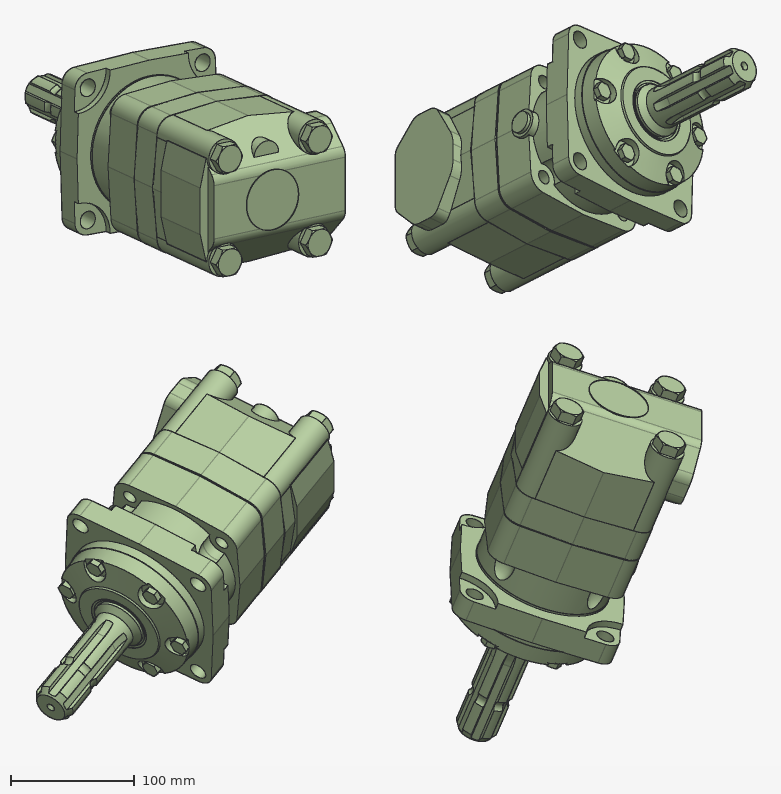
import cadquery as cq
import math


COLLAR_START = 96.5
COLLAR_END = 101.5
COVER_FACE = 102.5
COVER_CONE_START = 104.0
COVER_CONE_END = 111.0
COVER_RIM = 125.3
FLANGE_FRONT = 133.5
FLANGE_BACK = 157.7
BLOCK_FRONT = 188.3
PLATE_FRONT = 226.5
END_FRONT = 254.0
BOSS_END = 327.8
REAR_FACE = 333.2
REAR_END = 337.0

SHAFT_R = 17.5
SHAFT_TIP_R = 13.5
TIP_CHAMFER = 6.0
COLLAR_R = 22.5
SHAFT_SEAT_END = COVER_RIM
SPLINE_COUNT = 6
SPLINE_ROOT_R = 14.5
SPLINE_ROOT_WIDTH = 6.7
SPLINE_END = 75.5
CUTTER_R = 33.7
CUTTER_DEPTH = 5.0
GROOVE_X = 37.7
GROOVE_DEPTH = 2.0
GROOVE_R = 5.7
CENTRE_MOUTH_D = 7.0
CENTRE_DRILL_D = 3.25
CENTRE_CONE_HALF_ANGLE = 30
CENTRE_DRILL_DEPTH = 8.5

COVER_FACE_R = 38.0
COVER_CONE_R = 38.7
COVER_EDGE_R = 61.0
COVER_BACK_R = 61.5
COVER_RIM_R = 62.3
SEAL_RECESS_R = 26.3
SEAL_LIP_R = 24.3
SEAL_STEP = 0.7
SCREW_COUNT = 6
SCREW_CIRCLE_R = 54.0
SCREW_RECESS_D = 22.5
SCREW_RECESS_FLOOR = 112.5
SCREW_HEAD_FRONT = 107.5
SCREW_HEAD_D = 15.0
SCREW_FACE_D = 14.0

FLANGE_HALF = 70.92
FLANGE_CORNER = 68.7
FLANGE_CORNER_R = 12.5
MOUNT_OFFSET = 56.43
MOUNT_HOLE_D = 14.8
SPOT_FACE_X = 152.0
SPOT_FACE_R = 31.0
SPOT_FACE_OFFSET = 69.5
NECK_COLLAR_END = 159.5
NECK_COLLAR_R = 57.5
NECK_R = 57.3

DRAIN_X = 192.7
DRAIN_BOSS_D = 24.3
DRAIN_BOSS_Y = 64.0
DRAIN_CAP_D = 18.5
DRAIN_CAP_Y = 67.0

BODY_CORNER = 58.0
BODY_CORNER_R = 14.8
BLOCK_HALF = 61.5
PLATE_HALF = 62.3
REBATE = 0.7
REBATE_LENGTH = 0.7
END_HALF_Y = 63.5
END_HALF_Z = 62.3
END_FACE_EDGE = 58.5
END_FACE_HALF_WIDTH = 42.5
REAR_HALF_Y = 57.3
SLOPE_START = 298.5
REAR_EDGE_R = 11.8
REAR_DISC_R = 25.5
REAR_DISC_END = 334.0
TOP_PIN_D = 24.3
TOP_PIN_Z = 35.7
TOP_PIN_START = 303.2
TOP_PIN_END = 324.8

PAD_START = 269.0
PAD_END = 324.8
PAD_HALF_HEIGHT = 44.0
PAD_FLAT_HALF = 20.0
PAD_FACE_Y = 65.0
PAD_EDGE_Y = 59.3
PORT_FACE_Y = 71.93
PORT_START = 265.5
PORT_HALF_HEIGHT = 50.5
PORT_NOSE_HALF = 14.5
PORT_SLANT = 60
PORT_NOSE_R = 27.0
PORT_EDGE_R = 10.8
PORT_REAR_R = 13.0

BOLT_OFFSET = 44.0
BOLT_BOSS_R = 14.5
BOLT_D = 11.8
BOLT_TIP = 205.5
BOLT_HEAD_D = 26.3
BOLT_FACE_D = 23.0
BOLT_CHAMFER = 1.0
POCKET_R = 11.8
POCKET_STRAIGHT = 9.0
POCKET_NOSE = 17.5

QUADRANTS = [(1, 1), (-1, 1), (-1, -1), (1, -1)]
BOLT_POINTS = [(y * BOLT_OFFSET, z * BOLT_OFFSET) for y, z in QUADRANTS]
MOUNT_POINTS = [(y * MOUNT_OFFSET, z * MOUNT_OFFSET) for y, z in QUADRANTS]
SPOT_FACE_POINTS = [(y * SPOT_FACE_OFFSET, z * SPOT_FACE_OFFSET) for y, z in QUADRANTS]


def cross_section(x):
    """Workplane across the motor axis at station x: local x is Y, local y is Z."""
    return cq.Workplane("YZ", origin=(x, 0, 0))


def cylinder(start, end, radius):
    return cross_section(start).circle(radius).extrude(end - start)


def turned(points):
    """Solid of revolution about the motor axis from (station, radius) points."""
    return cq.Workplane("XY").polyline(points).close().revolve(360, (0, 0), (1, 0))


def domed_square(start, end, half, corner, corner_radius):
    """Rounded square prism whose four sides rise slightly to a ridge along their middle."""
    outline = [
        (half, 0), (corner, corner), (0, half), (-corner, corner),
        (-half, 0), (-corner, -corner), (0, -half), (corner, -corner),
    ]
    prism = cross_section(start).polyline(outline).close().extrude(end - start)
    mid = (start + end) / 2
    for y, z in QUADRANTS:
        edge = cq.selectors.NearestToPointSelector((mid, y * corner, z * corner))
        prism = prism.edges("|X").edges(edge).fillet(corner_radius)
    return prism



def spline_cutter():
    """Straight slot with walls parallel to its neighbouring teeth, and its milled run-out."""
    root_half = SPLINE_ROOT_WIDTH / 2
    top_half = root_half + CUTTER_DEPTH * math.tan(math.pi / SPLINE_COUNT)
    top_r = SPLINE_ROOT_R + CUTTER_DEPTH
    section = [
        (-root_half, SPLINE_ROOT_R), (root_half, SPLINE_ROOT_R),
        (top_half, top_r), (-top_half, top_r),
    ]
    slot = cross_section(0).polyline(section).close().extrude(SPLINE_END)
    cutter_axis_z = SPLINE_ROOT_R + CUTTER_R
    run_out = (
        cross_section(SPLINE_END).polyline(section).close()
        .revolve(360, (0, cutter_axis_z), (1, cutter_axis_z))
    )
    return slot.union(run_out)


def make_shaft():
    shaft = turned([
        (0, 0), (0, SHAFT_TIP_R), (TIP_CHAMFER, SHAFT_R), (COLLAR_START, SHAFT_R),
        (COLLAR_END, COLLAR_R), (SHAFT_SEAT_END, COLLAR_R), (SHAFT_SEAT_END, 0),
    ])
    groove_r = SHAFT_R - GROOVE_DEPTH + GROOVE_R
    groove = (
        cq.Workplane("XY").center(GROOVE_X, groove_r).circle(GROOVE_R)
        .revolve(360, (0, -groove_r), (1, -groove_r))
    )
    shaft = shaft.cut(groove)
    cutter = spline_cutter()
    for i in range(SPLINE_COUNT):
        shaft = shaft.cut(cutter.rotate((0, 0, 0), (1, 0, 0), i * 360 / SPLINE_COUNT))
    mouth_r = CENTRE_MOUTH_D / 2
    drill_r = CENTRE_DRILL_D / 2
    cone_depth = (mouth_r - drill_r) / math.tan(math.radians(CENTRE_CONE_HALF_ANGLE))
    centre_hole = turned([
        (0, 0), (0, mouth_r), (cone_depth, drill_r),
        (CENTRE_DRILL_DEPTH, drill_r), (CENTRE_DRILL_DEPTH, 0),
    ])
    return shaft.cut(centre_hole)



def make_cover():
    cover = turned([
        (COVER_FACE, 0), (COVER_FACE, COVER_FACE_R), (COVER_CONE_START, COVER_CONE_R),
        (COVER_CONE_END, COVER_EDGE_R), (COVER_RIM, COVER_BACK_R), (COVER_RIM, COVER_RIM_R),
        (FLANGE_FRONT, COVER_RIM_R), (FLANGE_FRONT, 0),
    ])
    for i in range(SCREW_COUNT):
        angle = i * 2 * math.pi / SCREW_COUNT
        y = SCREW_CIRCLE_R * math.cos(angle)
        z = SCREW_CIRCLE_R * math.sin(angle)
        recess = (
            cross_section(COVER_FACE).center(y, z).circle(SCREW_RECESS_D / 2)
            .extrude(SCREW_RECESS_FLOOR - COVER_FACE)
        )
        cover = cover.cut(recess).union(make_screw_head(y, z))
    seal_recess = cylinder(COVER_FACE, COVER_FACE + SEAL_STEP, SEAL_RECESS_R)
    seal_lip = cylinder(COVER_FACE, COVER_FACE + 2 * SEAL_STEP, SEAL_LIP_R)
    return cover.cut(seal_recess).cut(seal_lip)


def make_screw_head(y, z):
    """Hexagonal head standing on the floor of its recess, bevelled to a round face."""
    length = SCREW_RECESS_FLOOR - SCREW_HEAD_FRONT
    head = cross_section(SCREW_HEAD_FRONT).polygon(6, SCREW_HEAD_D).extrude(length)
    bevel = (SCREW_HEAD_D - SCREW_FACE_D) / 2
    envelope = (
        cylinder(SCREW_HEAD_FRONT, SCREW_RECESS_FLOOR, SCREW_HEAD_D / 2)
        .faces("<X").chamfer(bevel / 2, bevel)
    )
    return head.intersect(envelope).translate((0, y, z))


def make_flange():
    """Square flange with a hollow spot face behind each corner."""
    flange = domed_square(FLANGE_FRONT, FLANGE_BACK, FLANGE_HALF, FLANGE_CORNER, FLANGE_CORNER_R)
    holes = (
        cross_section(FLANGE_FRONT).pushPoints(MOUNT_POINTS).circle(MOUNT_HOLE_D / 2)
        .extrude(FLANGE_BACK - FLANGE_FRONT)
    )
    spot_faces = (
        cross_section(SPOT_FACE_X).pushPoints(SPOT_FACE_POINTS).circle(SPOT_FACE_R)
        .extrude(FLANGE_BACK - SPOT_FACE_X)
    )
    return flange.cut(holes).cut(spot_faces)


def make_neck():
    """Round neck with a long-nosed hollow in front of each bolt hole."""
    neck = cylinder(SPOT_FACE_X, BLOCK_FRONT, NECK_R)
    neck = neck.union(cylinder(SPOT_FACE_X, NECK_COLLAR_END, NECK_COLLAR_R))
    shoulder = BLOCK_FRONT - POCKET_STRAIGHT
    hollow = (
        cq.Workplane("XY").moveTo(BLOCK_FRONT, 0).lineTo(BLOCK_FRONT, POCKET_R)
        .lineTo(shoulder, POCKET_R)
        .ellipseArc(POCKET_NOSE, POCKET_R, 90, 180, startAtCurrent=True)
        .close().revolve(360, (0, 0), (1, 0))
    )
    for y, z in BOLT_POINTS:
        neck = neck.cut(hollow.translate((0, y, z)))
    return neck


def make_drain_plug():
    plug = cq.Workplane("XZ").center(DRAIN_X, 0)
    boss = plug.circle(DRAIN_BOSS_D / 2).extrude(-DRAIN_BOSS_Y)
    cap = plug.circle(DRAIN_CAP_D / 2).extrude(-DRAIN_CAP_Y)
    return boss.union(cap)


def make_block():
    rim_end = PLATE_FRONT - REBATE_LENGTH
    block = domed_square(BLOCK_FRONT, rim_end, BLOCK_HALF, BODY_CORNER, BODY_CORNER_R)
    rebate = domed_square(
        rim_end, PLATE_FRONT, BLOCK_HALF - REBATE, BODY_CORNER - REBATE, BODY_CORNER_R
    )
    return block.union(rebate)


def make_housing():
    housing = make_cover().union(make_flange()).union(make_neck())
    housing = housing.union(make_block()).union(make_drain_plug())
    shaft_seat = cylinder(COVER_FACE, SHAFT_SEAT_END, COLLAR_R)
    return housing.cut(shaft_seat).cut(bolt_holes(BLOCK_FRONT, PLATE_FRONT))


def bolt_holes(start, end):
    return cross_section(start).pushPoints(BOLT_POINTS).circle(BOLT_D / 2).extrude(end - start)



def make_gear_plate():
    plate = domed_square(PLATE_FRONT, END_FRONT, PLATE_HALF, BODY_CORNER, BODY_CORNER_R)
    return plate.cut(bolt_holes(PLATE_FRONT, END_FRONT))



def make_end_core():
    """Domed prism with 45 degree slopes at the rear and a relief behind the side pad."""
    outline = [
        (END_HALF_Y, 0), (END_FACE_EDGE, END_FACE_HALF_WIDTH),
        (END_FACE_HALF_WIDTH, END_FACE_EDGE), (0, END_HALF_Z),
        (-END_FACE_HALF_WIDTH, END_FACE_EDGE), (-END_FACE_EDGE, END_FACE_HALF_WIDTH),
        (-END_HALF_Y, 0), (-END_FACE_EDGE, -END_FACE_HALF_WIDTH),
        (-END_FACE_HALF_WIDTH, -END_FACE_EDGE), (0, -END_HALF_Z),
        (END_FACE_HALF_WIDTH, -END_FACE_EDGE), (END_FACE_EDGE, -END_FACE_HALF_WIDTH),
    ]
    prism = cross_section(END_FRONT).polyline(outline).close().extrude(REAR_FACE - END_FRONT)
    rear_half_z = END_HALF_Z - (REAR_FACE - SLOPE_START)
    profile = (
        cq.Workplane("XZ").polyline([
            (END_FRONT, -END_HALF_Z), (SLOPE_START, -END_HALF_Z), (REAR_FACE, -rear_half_z),
            (REAR_FACE, rear_half_z), (SLOPE_START, END_HALF_Z), (END_FRONT, END_HALF_Z),
        ]).close().extrude(END_HALF_Y, both=True)
        .edges("|Y and >X").fillet(REAR_EDGE_R)
    )
    rear_trim = (
        cq.Workplane("XY").box(REAR_FACE - PAD_END, END_HALF_Y, 2 * END_HALF_Z)
        .translate(((REAR_FACE + PAD_END) / 2, -REAR_HALF_Y - END_HALF_Y / 2, 0))
    )
    return prism.intersect(profile).cut(rear_trim)


def make_side_pad():
    section = [
        (-PAD_EDGE_Y, -PAD_HALF_HEIGHT), (-PAD_FACE_Y, -PAD_FLAT_HALF),
        (-PAD_FACE_Y, PAD_FLAT_HALF), (-PAD_EDGE_Y, PAD_HALF_HEIGHT),
        (-END_FACE_HALF_WIDTH, PAD_HALF_HEIGHT), (-END_FACE_HALF_WIDTH, -PAD_HALF_HEIGHT),
    ]
    return cross_section(PAD_START).polyline(section).close().extrude(PAD_END - PAD_START)


def make_port_block():
    """Rounded lug on +Y: blunt nose, two slanted faces, and the 45 degree rear slopes."""
    slant_run = (PORT_HALF_HEIGHT - PORT_NOSE_HALF) / math.tan(math.radians(PORT_SLANT))
    slant_end = PORT_START + slant_run
    slope_top = SLOPE_START + END_HALF_Z - PORT_HALF_HEIGHT
    rear_half_z = PORT_HALF_HEIGHT - (REAR_FACE - slope_top)
    upper = [
        (PORT_START, PORT_NOSE_HALF), (slant_end, PORT_HALF_HEIGHT),
        (slope_top, PORT_HALF_HEIGHT), (REAR_FACE, rear_half_z),
    ]
    lower = [(x, -z) for x, z in reversed(upper)]
    lug = (
        cq.Workplane("XZ", origin=(0, END_FACE_HALF_WIDTH, 0)).polyline(upper + lower).close()
        .extrude(END_FACE_HALF_WIDTH - PORT_FACE_Y)
    )
    radii = [PORT_NOSE_R, PORT_EDGE_R, PORT_REAR_R, REAR_EDGE_R]
    for (x, z), radius in zip(upper, radii):
        for side in (1, -1):
            edge = cq.selectors.NearestToPointSelector((x, PORT_FACE_Y, side * z))
            lug = lug.edges("|Y").edges(edge).fillet(radius)
    return lug


def make_end_housing():
    bosses = (
        cross_section(END_FRONT).pushPoints(BOLT_POINTS).circle(BOLT_BOSS_R)
        .extrude(BOSS_END - END_FRONT)
    )
    top_pin = cylinder(TOP_PIN_START, TOP_PIN_END, TOP_PIN_D / 2).translate((0, 0, TOP_PIN_Z))
    rear_disc = cylinder(BOSS_END, REAR_DISC_END, REAR_DISC_R)
    end_housing = make_end_core().union(bosses).union(make_side_pad()).union(make_port_block())
    end_housing = end_housing.union(top_pin).union(rear_disc)
    head_room = (
        cross_section(BOSS_END).pushPoints(BOLT_POINTS).circle(BOLT_BOSS_R)
        .extrude(REAR_END - BOSS_END)
    )
    return end_housing.cut(head_room).cut(bolt_holes(END_FRONT, BOSS_END))



def make_bolt(y, z):
    shank = cylinder(BOLT_TIP, BOSS_END, BOLT_D / 2)
    head = cross_section(BOSS_END).polygon(6, BOLT_HEAD_D).extrude(REAR_END - BOSS_END)
    envelope = (
        cylinder(BOSS_END, REAR_END, BOLT_HEAD_D / 2)
        .faces(">X").chamfer(BOLT_CHAMFER, (BOLT_HEAD_D - BOLT_FACE_D) / 2)
    )
    return shank.union(head.intersect(envelope)).translate((0, y, z))


shaft = make_shaft()
housing = make_housing()
gear_plate = make_gear_plate()
end_housing = make_end_housing()
bolts = [make_bolt(y, z) for y, z in BOLT_POINTS]

bodies = [shaft, housing, gear_plate, end_housing] + bolts
result = cq.Compound.makeCompound([body.solids().val() for body in bodies])